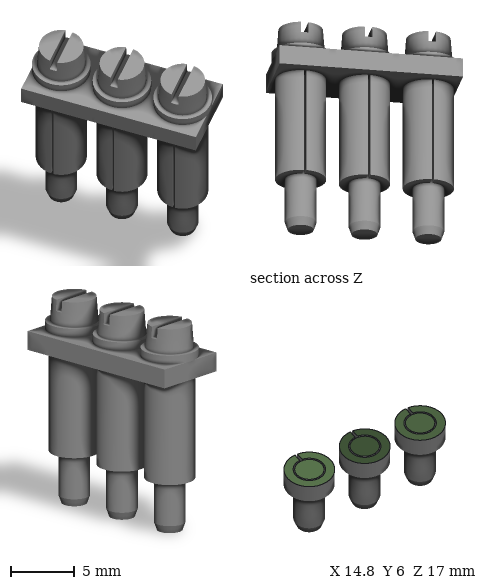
import cadquery as cq


screw_count = 3
pitch = 5.08

plate_length = 14.6
plate_width = 6.0
plate_thickness = 1.55

washer_diameter = 4.59
washer_thickness = 0.68

sleeve_diameter = 4.01
sleeve_length = 8.5
slit_width = 0.19

screw_length = 17.0
pin_diameter = 2.5
tip_diameter = 2.04
tip_height = 0.65
shank_diameter = 2.2
shoulder_start = 1.28
shoulder_height = 0.58
head_top_diameter = 3.5
head_base_diameter = 3.8
head_height = 1.99
head_clearance = 0.02
driver_slot_width = 0.6
driver_slot_depth = 0.9

head_base = screw_length - head_height
washer_top = head_base - head_clearance
plate_top = washer_top - washer_thickness
plate_bottom = plate_top - plate_thickness
sleeve_bottom = plate_bottom - sleeve_length
shoulder_bottom = sleeve_bottom + shoulder_start
shoulder_top = shoulder_bottom + shoulder_height

screw_positions = [(index - (screw_count - 1) / 2) * pitch for index in range(screw_count)]


def make_plate():
    """Rectangular plate with one shank hole per screw."""
    return (
        cq.Workplane("XY", origin=(0, 0, plate_bottom))
        .rect(plate_length, plate_width)
        .extrude(plate_thickness)
        .faces(">Z")
        .workplane()
        .pushPoints([(x, 0) for x in screw_positions])
        .hole(shank_diameter)
    )


def make_ring(x, bottom, outer_diameter, inner_diameter, height):
    """Hollow cylinder about a screw axis."""
    return (
        cq.Workplane("XY", origin=(x, 0, bottom))
        .circle(outer_diameter / 2)
        .circle(inner_diameter / 2)
        .extrude(height)
    )


def make_washer(x):
    """Flat washer under the screw head."""
    return make_ring(x, plate_top, washer_diameter, shank_diameter, washer_thickness)


def make_sleeve(x):
    """Sleeve around the shank, slit along its whole length on the -Y side."""
    sleeve = make_ring(x, sleeve_bottom, sleeve_diameter, pin_diameter, sleeve_length)
    slit = (
        cq.Workplane("XY", origin=(x, 0, sleeve_bottom))
        .rect(slit_width, sleeve_diameter)
        .extrude(sleeve_length)
        .translate((0, -sleeve_diameter / 2, 0))
    )
    return sleeve.cut(slit)


def make_screw(x):
    """Turned screw: chamfered pin, conical shoulder, shank and tapered slotted head."""
    body = (
        cq.Workplane("XZ")
        .moveTo(0, 0)
        .lineTo(tip_diameter / 2, 0)
        .lineTo(pin_diameter / 2, tip_height)
        .lineTo(pin_diameter / 2, shoulder_bottom)
        .lineTo(shank_diameter / 2, shoulder_top)
        .lineTo(shank_diameter / 2, head_base)
        .lineTo(head_base_diameter / 2, head_base)
        .lineTo(head_top_diameter / 2, screw_length)
        .lineTo(0, screw_length)
        .close()
        .revolve(360, (0, 0, 0), (0, 1, 0))
    )
    driver_slot = (
        cq.Workplane("XY", origin=(0, 0, screw_length - driver_slot_depth))
        .rect(driver_slot_width, head_base_diameter)
        .extrude(driver_slot_depth)
    )
    return body.cut(driver_slot).translate((x, 0, 0))


plate = make_plate()
washers = [make_washer(x) for x in screw_positions]
sleeves = [make_sleeve(x) for x in screw_positions]
screws = [make_screw(x) for x in screw_positions]

result = cq.Compound.makeCompound([body.val() for body in [plate, *washers, *sleeves, *screws]])